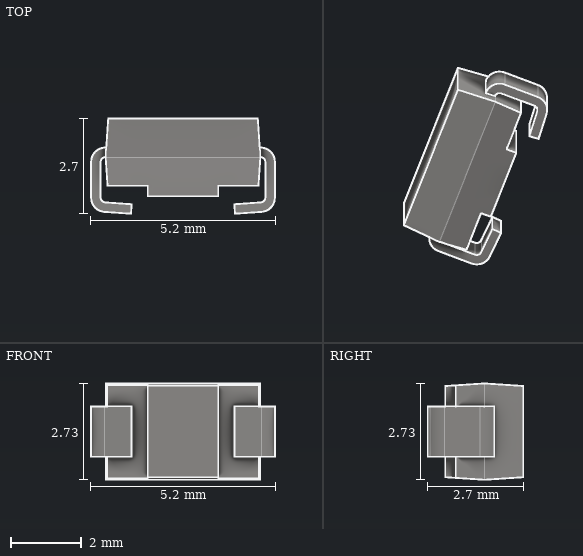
import cadquery as cq
import math

overall_length = 5.2
overall_depth = 2.7

housing_length = 4.38
housing_height = 2.73
back_depth = 1.095
step_depth = 0.81
pad_depth = 1.11
pad_length = 1.995
draft_angle = 3.8

lead_width = 1.425
lead_thickness = 0.275
bend_outer_radius = 0.41
lead_back_y = 0.275
foot_angle = 4.0
foot_length = 0.755


def make_frustum(depth, outward):
    """Half of the housing, tapering away from the parting plane."""
    plane = cq.Plane(origin=(0, 0, 0), xDir=(1, 0, 0), normal=(0, outward, 0))
    return (
        cq.Workplane(plane)
        .rect(housing_length, housing_height)
        .extrude(depth, taper=draft_angle)
    )


def make_housing():
    """Two drafted halves, with the front stepped back beside a central pad."""
    body = make_frustum(back_depth, 1).union(make_frustum(pad_depth, -1))
    shoulder_length = (housing_length - pad_length) / 2
    shoulder_offset = (housing_length + pad_length) / 4
    step_height = pad_depth - step_depth
    shoulders = (
        cq.Workplane("XY")
        .pushPoints([(side * shoulder_offset, -(step_depth + pad_depth) / 2) for side in (-1, 1)])
        .box(shoulder_length, step_height, housing_height)
    )
    return body.cut(shoulders)


def make_lead(housing):
    """Left C-shaped strip, butting against the sloping end of the housing."""
    angle = math.radians(foot_angle)
    inner_radius = bend_outer_radius - lead_thickness
    bend_x = -overall_length / 2 + bend_outer_radius
    upper_bend_y = lead_back_y - bend_outer_radius
    foot_tip_y = back_depth - overall_depth
    lower_bend_y = foot_tip_y + bend_outer_radius * math.cos(angle) + foot_length * math.sin(angle)
    tail_x = bend_x + lead_thickness

    foot_end_turn = 270 - foot_angle

    def bend_point(bend_y, radius, degrees):
        turn = math.radians(degrees)
        return bend_x + radius * math.cos(turn), bend_y + radius * math.sin(turn)

    def upper_bend(radius, degrees):
        return bend_point(upper_bend_y, radius, degrees)

    def lower_bend(radius, degrees):
        return bend_point(lower_bend_y, radius, degrees)

    def foot_end(radius):
        start_x, start_y = lower_bend(radius, foot_end_turn)
        return start_x + foot_length * math.cos(angle), start_y - foot_length * math.sin(angle)

    foot_mid_turn = (180 + foot_end_turn) / 2
    strip = (
        cq.Workplane("XY")
        .moveTo(tail_x, lead_back_y)
        .lineTo(*upper_bend(bend_outer_radius, 90))
        .threePointArc(upper_bend(bend_outer_radius, 135), upper_bend(bend_outer_radius, 180))
        .lineTo(*lower_bend(bend_outer_radius, 180))
        .threePointArc(
            lower_bend(bend_outer_radius, foot_mid_turn), lower_bend(bend_outer_radius, foot_end_turn)
        )
        .lineTo(*foot_end(bend_outer_radius))
        .lineTo(*foot_end(inner_radius))
        .lineTo(*lower_bend(inner_radius, foot_end_turn))
        .threePointArc(lower_bend(inner_radius, foot_mid_turn), lower_bend(inner_radius, 180))
        .lineTo(*upper_bend(inner_radius, 180))
        .threePointArc(upper_bend(inner_radius, 135), upper_bend(inner_radius, 90))
        .lineTo(tail_x, lead_back_y - lead_thickness)
        .close()
        .extrude(lead_width / 2, both=True)
    )
    return strip.cut(housing)


housing = make_housing()

leads = []
for end in ("left", "right"):
    lead = make_lead(housing)
    if end == "right":
        lead = lead.mirror("YZ")
    leads.append(lead.solids().val())

result = cq.Compound.makeCompound([housing.solids().val(), *leads])